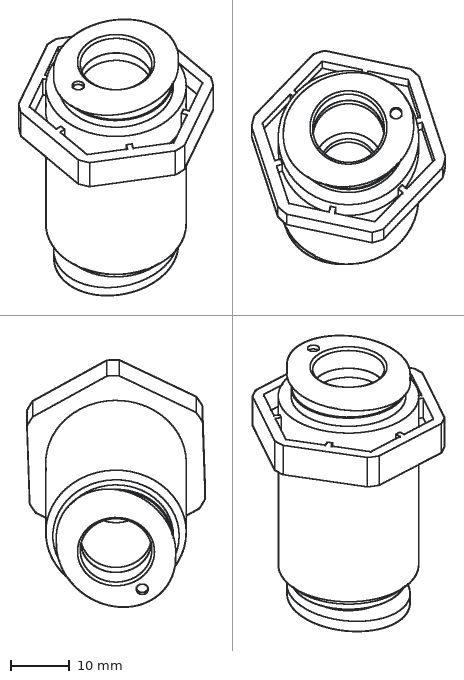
import cadquery as cq
import math


TOTAL_LENGTH = 46.8
BORE_DIAMETER = 12.15

FLANGE_WIDTH_X = 19.55
FLANGE_WIDTH_Y = 22.5
FLANGE_THICKNESS = 2.25
FLANGE_FILLET = 0.4
NECK_DIAMETER = 14.2
SLEEVE_GAP = 1.83
MOUTH_DIAMETER = 12.2
MOUTH_CHAMFER = 0.45
MOUTH_DEPTH = 4.02
DIMPLE_DIAMETER = 2.0
DIMPLE_DEPTH = 0.75
DIMPLE_OFFSET = 8.5

COLLAR_DIAMETER = 19.6
COLLAR_HEIGHT = 1.8
COLLAR_CHAMFER = 0.15

BARREL_DIAMETER = 24.0
BARREL_CHAMFER = 1.2
STOP_DIAMETER = 10.0
STOP_LENGTH = 1.95

HEX_ACROSS_FLATS = 30.0
HEX_CORNER_DIAMETER = 33.5
HEX_HEIGHT = 5.9
HEX_SETBACK = 2.15
HEX_RIM = 1.95
POCKET_DEPTH = 3.95
RIB_WIDTH = 1.0
HEX_SIDES = 6

END_Z = TOTAL_LENGTH / 2
SLEEVE_LENGTH = FLANGE_THICKNESS + SLEEVE_GAP + COLLAR_HEIGHT
BARREL_END_Z = END_Z - SLEEVE_LENGTH
HEX_TOP_Z = BARREL_END_Z - HEX_SETBACK


def cylinder(diameter, bottom_z, top_z):
    return cq.Workplane("XY").workplane(offset=bottom_z).circle(diameter / 2).extrude(top_z - bottom_z)


def hex_prism(across_flats, bottom_z, top_z):
    """Hexagonal prism with two corners on the X axis."""
    corner_distance = across_flats / math.cos(math.pi / HEX_SIDES)
    return (
        cq.Workplane("XY")
        .workplane(offset=bottom_z)
        .polygon(HEX_SIDES, corner_distance)
        .extrude(top_z - bottom_z)
    )


def hex_pocket_cutter():
    """Ring of six pockets between the hexagon rim and the barrel, parted by ribs at the flats."""
    floor_z = HEX_TOP_Z - POCKET_DEPTH
    cutter = hex_prism(HEX_ACROSS_FLATS - 2 * HEX_RIM, floor_z, HEX_TOP_Z)
    cutter = cutter.cut(cylinder(BARREL_DIAMETER, floor_z, HEX_TOP_Z))
    for side in range(HEX_SIDES // 2):
        rib_pair = (
            cq.Workplane("XY")
            .workplane(offset=floor_z)
            .rect(RIB_WIDTH, HEX_ACROSS_FLATS)
            .extrude(POCKET_DEPTH)
            .rotate((0, 0, 0), (0, 0, 1), side * 360 / HEX_SIDES)
        )
        cutter = cutter.cut(rib_pair)
    return cutter


def make_housing():
    barrel = cylinder(BARREL_DIAMETER, -BARREL_END_Z, BARREL_END_Z).faces("<Z").chamfer(BARREL_CHAMFER)
    hex_bottom_z = HEX_TOP_Z - HEX_HEIGHT
    hex_flange = hex_prism(HEX_ACROSS_FLATS, hex_bottom_z, HEX_TOP_Z)
    hex_flange = hex_flange.intersect(cylinder(HEX_CORNER_DIAMETER, hex_bottom_z, HEX_TOP_Z))
    housing = barrel.union(hex_flange.cut(hex_pocket_cutter()))

    housing = housing.cut(cylinder(STOP_DIAMETER, -BARREL_END_Z, BARREL_END_Z))
    housing = housing.cut(cylinder(BORE_DIAMETER, STOP_LENGTH / 2, BARREL_END_Z))
    return housing.cut(cylinder(BORE_DIAMETER, -BARREL_END_Z, -STOP_LENGTH / 2))


def make_sleeve():
    """Release sleeve of the upper end, standing on the housing."""
    flange_bottom_z = END_Z - FLANGE_THICKNESS
    flange = (
        cq.Workplane("XY")
        .workplane(offset=flange_bottom_z)
        .ellipse(FLANGE_WIDTH_X / 2, FLANGE_WIDTH_Y / 2)
        .extrude(FLANGE_THICKNESS)
        .faces(">Z")
        .edges()
        .fillet(FLANGE_FILLET)
    )
    sleeve = flange.union(cylinder(NECK_DIAMETER, BARREL_END_Z, flange_bottom_z))
    sleeve = sleeve.cut(cylinder(BORE_DIAMETER, BARREL_END_Z, END_Z))

    sleeve = sleeve.cut(cylinder(MOUTH_DIAMETER, END_Z - MOUTH_DEPTH, END_Z))
    sleeve = sleeve.faces(">Z").edges("%CIRCLE").chamfer(MOUTH_CHAMFER)

    dimple = cylinder(DIMPLE_DIAMETER, END_Z - DIMPLE_DEPTH, END_Z).translate((0, -DIMPLE_OFFSET, 0))
    return sleeve.cut(dimple)


def make_collar():
    """Collar of the upper end, standing on the housing around the sleeve neck."""
    collar_top_z = BARREL_END_Z + COLLAR_HEIGHT
    collar = cylinder(COLLAR_DIAMETER, BARREL_END_Z, collar_top_z).faces(">Z").chamfer(COLLAR_CHAMFER)
    return collar.cut(cylinder(NECK_DIAMETER, BARREL_END_Z, collar_top_z))


def both_ends(upper_body):
    """The upper body's solid and its mirror image at the lower end."""
    return [upper_body.val(), upper_body.mirror("XY").val()]


housing = make_housing()
sleeves = both_ends(make_sleeve())
collars = both_ends(make_collar())

result = cq.Compound.makeCompound([housing.val(), *sleeves, *collars])